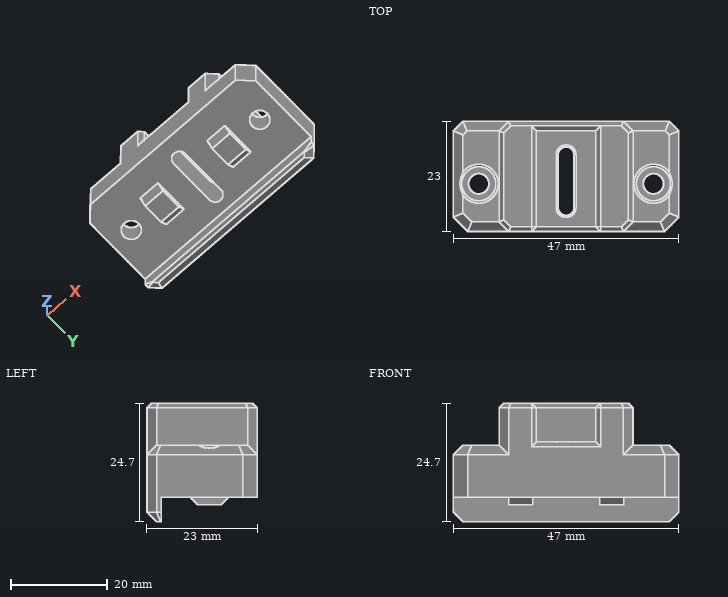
import cadquery as cq

length = 47.0
width = 23.0
height = 24.7
base_bottom = 5.08
deck_height = 16.0
tower_length = 27.9
front_y = -width / 2
back_y = width / 2

large_chamfer = 3.0
medium_chamfer = 2.0
small_chamfer = 1.0

skirt_thickness = 3.0

pocket_length = 12.4
pocket_floor = 16.65
pocket_back_y = back_y - 2 * small_chamfer
pocket_middle_y = (front_y + pocket_back_y) / 2

slot_length = 14.25
slot_width = 3.3
slot_chamfer = 0.4

feature_y = front_y + 9.95
hole_spacing = 36.4
hole_diameter = 4.2
counterbore_diameter = 7.1
counterbore_depth = 4.0
bore_chamfer = 0.5
tooth_length = 5.05
tooth_spacing = 18.95
tooth_height = 1.55
tooth_tip_width = 4.9


def block(size_x, bottom, top, front_corner, back_corner):
    """Full-width block with chamfered vertical corners."""
    return (
        cq.Workplane("XY")
        .workplane(offset=bottom)
        .rect(size_x, width)
        .extrude(top - bottom)
        .edges("|Z and <Y")
        .chamfer(front_corner)
        .edges("|Z and >Y")
        .chamfer(back_corner)
    )


def make_body():
    """Base with a back skirt, carrying the central tower."""
    base = block(length, 0, deck_height, large_chamfer, medium_chamfer)
    base = base.faces("<Z or >Z").edges().chamfer(medium_chamfer)
    underside_cut = (
        cq.Workplane("XY", origin=(0, front_y, 0))
        .box(length, width - skirt_thickness, base_bottom, centered=(True, False, False))
    )
    tower = block(tower_length, base_bottom, height, medium_chamfer, medium_chamfer)
    tower = tower.faces(">Z").edges().chamfer(small_chamfer)
    return base.cut(underside_cut).union(tower)


def make_pocket():
    """Pocket void, flared by a chamfer at the top rim and at the front opening."""
    pocket_depth = pocket_back_y - front_y
    pocket_height = height - pocket_floor
    pocket_middle_z = (height + pocket_floor) / 2
    flare_growth = 2 * small_chamfer
    cavity = (
        cq.Workplane("XY", origin=(0, pocket_middle_y, pocket_floor))
        .rect(pocket_length, pocket_depth)
        .extrude(pocket_height)
    )
    top_flare = (
        cq.Workplane("XY", origin=(0, pocket_middle_y, height))
        .rect(pocket_length + flare_growth, pocket_depth + flare_growth)
        .extrude(-small_chamfer, taper=45)
    )
    front_flare = (
        cq.Workplane("XZ", origin=(0, front_y, pocket_middle_z))
        .rect(pocket_length + flare_growth, pocket_height + flare_growth)
        .extrude(-small_chamfer, taper=45)
    )
    return cavity.union(top_flare).union(front_flare)


def make_corner_facet(side):
    """Triangular facet where the chamfers of a pocket wall's front, top and inner edges meet."""
    inset = small_chamfer * 2 / 3
    middle = (side * (pocket_length / 2 + inset), front_y + inset, height - inset)
    facet_plane = cq.Plane(origin=middle, xDir=(side, 0, 1), normal=(-side, -1, 1))
    return cq.Workplane(facet_plane).circle(small_chamfer).extrude(small_chamfer)


def make_slot():
    """Through slot in the pocket floor with a chamfered rim."""
    shaft = (
        cq.Workplane("XY", origin=(0, pocket_middle_y, 0))
        .slot2D(slot_length, slot_width, 90)
        .extrude(pocket_floor)
    )
    rim = (
        cq.Workplane("XY", origin=(0, pocket_middle_y, pocket_floor))
        .slot2D(slot_length + 2 * slot_chamfer, slot_width + 2 * slot_chamfer, 90)
        .extrude(-slot_chamfer, taper=45)
    )
    return shaft.union(rim)


def make_screw_hole(x):
    """Through hole with a counterbore opening on the deck."""
    hole = (
        cq.Workplane("XY", origin=(x, feature_y, 0))
        .circle(hole_diameter / 2)
        .extrude(deck_height)
    )
    counterbore = (
        cq.Workplane("XY", origin=(x, feature_y, deck_height))
        .circle(counterbore_diameter / 2)
        .extrude(-counterbore_depth)
    )
    return hole.union(counterbore)


def make_deck_rim(x):
    """Conical chamfer where a counterbore opens on the flat deck."""
    return (
        cq.Workplane("XY", origin=(x, feature_y, deck_height))
        .circle(counterbore_diameter / 2 + bore_chamfer)
        .extrude(-bore_chamfer, taper=45)
    )


def make_tooth(x):
    """Locating tooth under the base, narrowing downward with 45 degree flanks."""
    half_tip = tooth_tip_width / 2
    half_root = half_tip + tooth_height
    return (
        cq.Workplane("YZ", origin=(x, feature_y, base_bottom))
        .moveTo(-half_root, 0)
        .lineTo(-half_tip, -tooth_height)
        .lineTo(half_tip, -tooth_height)
        .lineTo(half_root, 0)
        .close()
        .extrude(tooth_length / 2, both=True)
    )


result = make_body().cut(make_pocket()).cut(make_slot())
for side in (-1, 1):
    result = result.cut(make_corner_facet(side))

hole_positions = (-hole_spacing / 2, hole_spacing / 2)
for hole_x in hole_positions:
    result = result.cut(make_screw_hole(hole_x))

result = result.edges("%ELLIPSE").chamfer(bore_chamfer)
for hole_x in hole_positions:
    result = result.cut(make_deck_rim(hole_x))

for tooth_x in (-tooth_spacing / 2, tooth_spacing / 2):
    result = result.union(make_tooth(tooth_x))